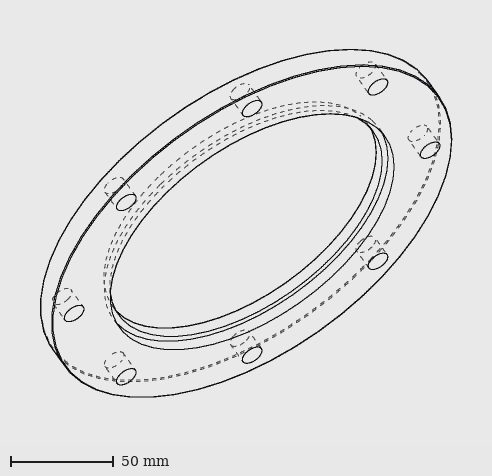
import cadquery as cq

outer_diameter = 225
thickness = 12.0
bore_diameter = 153
edge_chamfer = 0.5

recess_diameter = 159.5
recess_depth = thickness / 2

bolt_count = 8
bolt_hole_diameter = 11.0
bolt_circle_diameter = 200.0


def face_plane(x):
    """Workplane square to the ring axis, extruding toward +X."""
    return cq.Workplane("YZ", origin=(x, 0, 0))


back_face_x = -thickness / 2
front_face_x = thickness / 2

disc = (
    face_plane(back_face_x)
    .circle(outer_diameter / 2)
    .extrude(thickness)
    .edges()
    .chamfer(edge_chamfer)
)

bore = face_plane(back_face_x).circle(bore_diameter / 2).extrude(thickness)

recess = (
    face_plane(front_face_x - recess_depth)
    .circle(recess_diameter / 2)
    .extrude(recess_depth)
)

bolt_holes = (
    face_plane(back_face_x)
    .polarArray(bolt_circle_diameter / 2, 0, 360, bolt_count)
    .circle(bolt_hole_diameter / 2)
    .extrude(thickness)
)

result = disc.cut(bore).cut(recess).cut(bolt_holes)